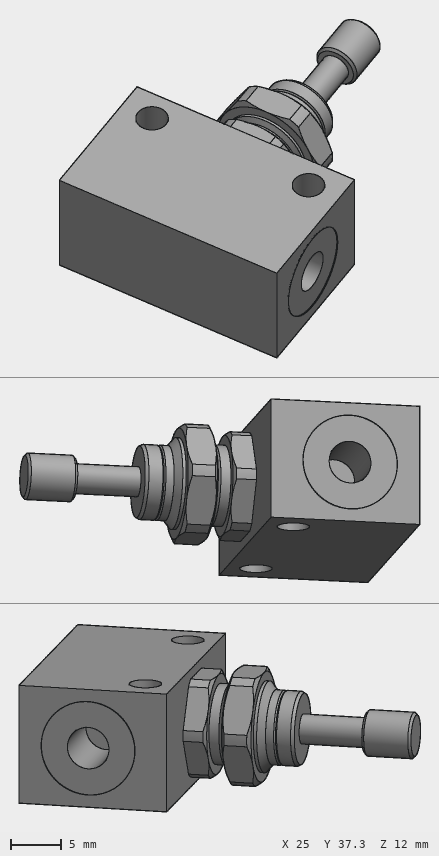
import cadquery as cq
import math

BLOCK_WIDTH = 25.0
BLOCK_DEPTH = 15.0
BLOCK_HEIGHT = 12.0
TOTAL_LENGTH = 37.3

MOUNT_DIAMETER = 3.2
MOUNT_SPACING = 17.98
MOUNT_Y = 12.0

PORT_Y = 7.0
PORT_DIAMETER = 4.2
PORT_DEPTH = 8.0
RECESS_DIAMETER = 9.5
RECESS_DEPTH = 0.1

BASE_NUT_FLATS = 10.0
BASE_NUT_CORNERS = 10.95
BASE_NUT_LENGTH = 2.28
LOCK_NUT_FLATS = 11.0
LOCK_NUT_CORNERS = 12.1
LOCK_NUT_LENGTH = 2.95
NUT_CHAMFER_ANGLE = 30.0

LOWER_NECK_RADIUS = 4.03
LOWER_NECK_LENGTH = 1.0
THREAD_RADIUS = 4.55
THREAD_LENGTH = 3.95
THREAD_LEAD = 0.37
LOCK_NUT_GAP = 0.3
COLLAR_RADIUS = 3.73
CONE_LENGTH = 0.7
UPPER_NECK_LENGTH = 0.82
GROOVE_DEPTH = 0.15
GROOVE_WIDTH = 0.3
COLLAR_LENGTH = 1.75
COLLAR_CHAMFER_LENGTH = 0.35
COLLAR_CHAMFER_DEPTH = 0.2

STEM_RADIUS = 1.5
KNOB_RADIUS = 2.3
KNOB_LENGTH = 5.0
KNOB_CHAMFER = 0.25

base_nut_end = BLOCK_DEPTH + BASE_NUT_LENGTH
thread_start = base_nut_end + LOWER_NECK_LENGTH
lock_nut_start = thread_start + THREAD_LEAD + LOCK_NUT_GAP
thread_end = thread_start + THREAD_LENGTH
cone_end = thread_end + CONE_LENGTH
groove_start = cone_end + UPPER_NECK_LENGTH
collar_start = groove_start + GROOVE_WIDTH
collar_end = collar_start + COLLAR_LENGTH
knob_start = TOTAL_LENGTH - KNOB_LENGTH


def revolve_about_y(points):
    """Turn a closed (radius, y) outline about the Y axis."""
    return cq.Workplane("XY").polyline(points).close().revolve(360, (0, 0, 0), (0, 1, 0))


def hex_nut(start, length, flats, corners, both_ends):
    """Hexagon along Y whose corners are turned down and chamfered at the outer end or both ends."""
    end = start + length
    flat_radius = flats / 2
    corner_radius = corners / 2
    chamfer = (corner_radius - flat_radius) * math.tan(math.radians(NUT_CHAMFER_ANGLE))

    hexagon = (
        cq.Workplane("XZ", origin=(0, start, 0))
        .polygon(6, flats / math.cos(math.pi / 6))
        .extrude(-length)
    )
    if both_ends:
        inner_end = [(flat_radius, start), (corner_radius, start + chamfer)]
    else:
        inner_end = [(corner_radius, start)]
    outer_end = [(corner_radius, end - chamfer), (flat_radius, end)]
    turned_limit = revolve_about_y([(0, start)] + inner_end + outer_end + [(0, end)])
    return hexagon.intersect(turned_limit)


def make_sleeve():
    groove_radius = COLLAR_RADIUS - GROOVE_DEPTH
    groove_middle = groove_start + GROOVE_WIDTH / 2
    return revolve_about_y([
        (0, BLOCK_DEPTH),
        (LOWER_NECK_RADIUS, BLOCK_DEPTH),
        (LOWER_NECK_RADIUS, thread_start),
        (THREAD_RADIUS, thread_start + THREAD_LEAD),
        (THREAD_RADIUS, thread_end),
        (COLLAR_RADIUS, cone_end),
        (COLLAR_RADIUS, groove_start),
        (groove_radius, groove_middle),
        (COLLAR_RADIUS, collar_start),
        (COLLAR_RADIUS, collar_end - COLLAR_CHAMFER_LENGTH),
        (COLLAR_RADIUS - COLLAR_CHAMFER_DEPTH, collar_end),
        (0, collar_end),
    ])


def make_stem_and_knob():
    knob_end_radius = KNOB_RADIUS - KNOB_CHAMFER
    return revolve_about_y([
        (0, collar_end),
        (STEM_RADIUS, collar_end),
        (STEM_RADIUS, knob_start),
        (knob_end_radius, knob_start),
        (KNOB_RADIUS, knob_start + KNOB_CHAMFER),
        (KNOB_RADIUS, TOTAL_LENGTH - KNOB_CHAMFER),
        (knob_end_radius, TOTAL_LENGTH),
        (0, TOTAL_LENGTH),
    ])


def end_bore(side, diameter, depth):
    """Cylinder reaching into the block from its -X (side -1) or +X (side 1) end."""
    return (
        cq.Workplane("YZ", origin=(side * BLOCK_WIDTH / 2, PORT_Y, 0))
        .circle(diameter / 2)
        .extrude(-side * depth)
    )


def make_block():
    block = cq.Workplane("XY").box(BLOCK_WIDTH, BLOCK_DEPTH, BLOCK_HEIGHT, centered=(True, False, True))
    mount_holes = (
        cq.Workplane("XY", origin=(0, 0, -BLOCK_HEIGHT / 2))
        .pushPoints([(-MOUNT_SPACING / 2, MOUNT_Y), (MOUNT_SPACING / 2, MOUNT_Y)])
        .circle(MOUNT_DIAMETER / 2)
        .extrude(BLOCK_HEIGHT)
    )
    block = block.cut(mount_holes)
    for side in (-1, 1):
        block = block.cut(end_bore(side, RECESS_DIAMETER, RECESS_DEPTH))
        block = block.cut(end_bore(side, PORT_DIAMETER, PORT_DEPTH))
    return block


base_nut = hex_nut(BLOCK_DEPTH, BASE_NUT_LENGTH, BASE_NUT_FLATS, BASE_NUT_CORNERS, both_ends=False)
lock_nut = hex_nut(lock_nut_start, LOCK_NUT_LENGTH, LOCK_NUT_FLATS, LOCK_NUT_CORNERS, both_ends=True)

result = (
    make_block()
    .union(base_nut)
    .union(make_sleeve())
    .union(lock_nut)
    .union(make_stem_and_knob())
)